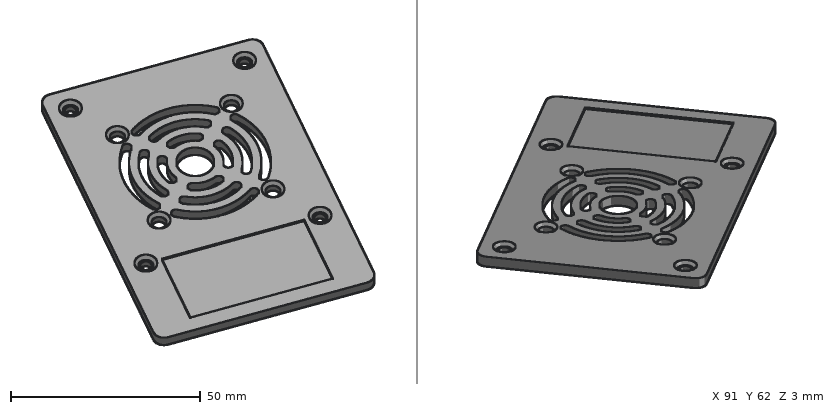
import cadquery as cq
import math

PLATE_LENGTH = 91.0
PLATE_WIDTH = 62.0
PLATE_THICKNESS = 3.0
CORNER_RADIUS = 3.0

FAN_FROM_LEFT_EDGE = 35.5
FAN_X = FAN_FROM_LEFT_EDGE - PLATE_LENGTH / 2
HUB_RADIUS = 5.0
RING_COUNT = 3
RING_PITCH = HUB_RADIUS
SLOT_WIDTH = RING_PITCH / 2
SPOKE_WIDTH = 3.5
SLOTS_PER_RING = 4
SPOKE_ANGLE = math.pi / SLOTS_PER_RING

FAN_HOLE_DIAMETER = 4.0
FAN_HOLE_SPACING = 32.0
PLATE_HOLE_DIAMETER = 3.0
PLATE_HOLE_SPACING_X = 58.1
PLATE_HOLE_SPACING_Y = 49.0
SINK_TOP_DIAMETER = 6.0
SINK_BOTTOM_DIAMETER = FAN_HOLE_DIAMETER
SINK_DEPTH = (SINK_TOP_DIAMETER - SINK_BOTTOM_DIAMETER) / 2

RECESS_LENGTH = 22.0
RECESS_WIDTH = 40.0
RECESS_DEPTH = 0.5
RECESS_LEFT_X = FAN_X + PLATE_HOLE_SPACING_X / 2


def make_plate():
    plate = cq.Workplane("XY").box(
        PLATE_LENGTH, PLATE_WIDTH, PLATE_THICKNESS, centered=(True, True, False)
    )
    return plate.edges("|Z").fillet(CORNER_RADIUS)


def arc_slot(outer_radius):
    """Round-ended slot following an arc about the origin, centred on the +X axis."""
    inner_radius = outer_radius - SLOT_WIDTH
    middle_radius = outer_radius - SLOT_WIDTH / 2

    cap_offset = (SPOKE_WIDTH + SLOT_WIDTH) / 2
    cap_angle = SPOKE_ANGLE - math.asin(cap_offset / middle_radius)

    def polar(radius, angle):
        return (radius * math.cos(angle), radius * math.sin(angle))

    def cap_tip(side):
        x, y = polar(middle_radius, side * cap_angle)
        reach = SLOT_WIDTH / 2
        return (x - reach * math.sin(cap_angle), y + side * reach * math.cos(cap_angle))

    return (
        cq.Workplane("XY")
        .moveTo(*polar(outer_radius, -cap_angle))
        .threePointArc((outer_radius, 0), polar(outer_radius, cap_angle))
        .threePointArc(cap_tip(1), polar(inner_radius, cap_angle))
        .threePointArc((inner_radius, 0), polar(inner_radius, -cap_angle))
        .threePointArc(cap_tip(-1), polar(outer_radius, -cap_angle))
        .close()
        .extrude(PLATE_THICKNESS)
    )


def make_grille():
    grille = cq.Workplane("XY").circle(HUB_RADIUS).extrude(PLATE_THICKNESS)
    for ring in range(1, RING_COUNT + 1):
        slot = arc_slot(HUB_RADIUS + ring * RING_PITCH)
        for position in range(SLOTS_PER_RING):
            turn = position * 360 / SLOTS_PER_RING
            grille = grille.union(slot.rotate((0, 0, 0), (0, 0, 1), turn))
    return grille.translate((FAN_X, 0, 0))


def make_screw_holes(spacing_x, spacing_y, diameter):
    """Four countersunk through holes in a rectangle around the fan centre.

    A hole narrower than the bottom of its countersink leaves a flat ledge.
    """
    bore = cq.Solid.makeCylinder(diameter / 2, PLATE_THICKNESS)
    countersink = cq.Solid.makeCone(
        SINK_BOTTOM_DIAMETER / 2,
        SINK_TOP_DIAMETER / 2,
        SINK_DEPTH,
        pnt=cq.Vector(0, 0, PLATE_THICKNESS - SINK_DEPTH),
    )
    screw_hole = bore.fuse(countersink)
    return (
        cq.Workplane("XY", origin=(FAN_X, 0, 0))
        .rarray(spacing_x, spacing_y, 2, 2)
        .eachpoint(screw_hole)
    )


def make_recess():
    return (
        cq.Workplane("XY")
        .box(RECESS_LENGTH, RECESS_WIDTH, RECESS_DEPTH, centered=(False, True, False))
        .translate((RECESS_LEFT_X, 0, PLATE_THICKNESS - RECESS_DEPTH))
    )


result = make_plate().cut(make_grille())
result = result.cut(make_screw_holes(FAN_HOLE_SPACING, FAN_HOLE_SPACING, FAN_HOLE_DIAMETER))
result = result.cut(
    make_screw_holes(PLATE_HOLE_SPACING_X, PLATE_HOLE_SPACING_Y, PLATE_HOLE_DIAMETER)
)
result = result.cut(make_recess())